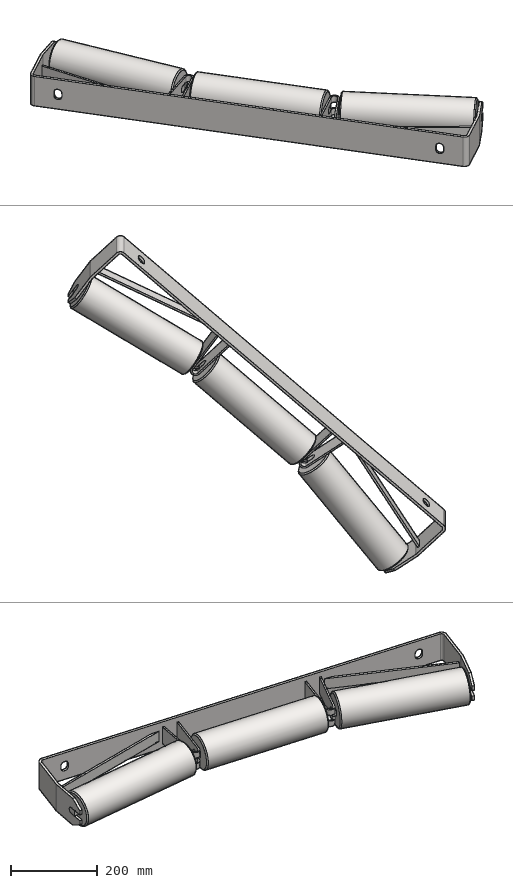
import cadquery as cq
import math

frame_length = 1050.0
frame_height = 80.0
frame_sheet = 6.0
frame_bend_radius = 13.0
arm_bend_y = 100.0
arm_tip_y = 190.0
arm_tip_width = 42.0
arm_taper_length = 27.0
mount_slot_inset = 68.0
mount_slot_length = 27.0
mount_slot_width = 19.0

tilt = 10.0
roller_diameter = 89.0
roller_length = 315.0
roller_rim_chamfer = 3.0
middle_roller_y = 99.0
outer_roller_x = 348.0
outer_roller_y = 130.0
shaft_gap = 5.0
shaft_width = 17.0
shaft_height = 21.0

bracket_sheet = 4.0
bracket_top_y = 125.0
crown_radius = 12.0
bracket_height = 50.0

brace_height = 30.0
brace_sheet = 5.0
brace_foot_x = 213.0
brace_top_y = 93.0

tilt_angle = math.radians(tilt)
sin_tilt = math.sin(tilt_angle)
cos_tilt = math.cos(tilt_angle)
half_length = frame_length / 2
half_height = frame_height / 2
shaft_half_length = roller_length / 2 + shaft_gap
crown_x = -shaft_half_length - crown_radius
crown_y = bracket_top_y - crown_radius
cutter_reach = frame_length


def along_outer_axis(x, y):
    """Distance of a point from the left outer roller's centre, measured along its axis."""
    return (x + outer_roller_x) * cos_tilt - (y - outer_roller_y) * sin_tilt


def mirrored(body):
    """Copy of a left-hand body on the right-hand side."""
    return body.mirror("YZ")


def place_on_outer_axis(body):
    """Move a body modelled along X about the origin onto the left outer roller axis."""
    turned = body.rotate((0, 0, 0), (0, 0, 1), -tilt)
    return turned.translate((-outer_roller_x, outer_roller_y, 0))


def shaft_section(height_above_axis, start_x, length):
    """Bar along X: round underneath, flat sides, flat top at the given height."""
    radius = shaft_width / 2
    bottom_y = -shaft_height / 2
    return (
        cq.Workplane("YZ", origin=(start_x, 0, 0))
        .moveTo(height_above_axis, radius)
        .lineTo(bottom_y + radius, radius)
        .threePointArc((bottom_y, 0), (bottom_y + radius, -radius))
        .lineTo(height_above_axis, -radius)
        .close()
        .extrude(length)
    )


def make_roller(left_reach, right_reach):
    """Roller along X about the origin, its shaft reaching the given distances from the middle."""
    barrel = (
        cq.Workplane("YZ", origin=(-roller_length / 2, 0, 0))
        .circle(roller_diameter / 2)
        .extrude(roller_length)
        .faces("<X or >X")
        .chamfer(roller_rim_chamfer)
    )
    shaft = shaft_section(shaft_height / 2, -left_reach, left_reach + right_reach)
    return barrel.union(shaft)


def shaft_slot(start_x, length):
    """Cutter for a slot that seats a shaft and is open upwards (+Y)."""
    return shaft_section(cutter_reach, start_x, length)


def taper_arm_tips(frame):
    """Slope off both corners of each arm tip."""
    corner = (
        cq.Workplane("YZ", origin=(-half_length, 0, 0))
        .polyline([
            (arm_tip_y - arm_taper_length, half_height),
            (arm_tip_y, half_height),
            (arm_tip_y, arm_tip_width / 2),
        ])
        .close()
        .extrude(frame_length)
    )
    return frame.cut(corner).cut(corner.mirror("XY"))


def mount_slots():
    """Cutters for the upright mounting slots through the back of the frame."""
    mount_x = half_length - mount_slot_inset
    return (
        cq.Workplane("XZ")
        .pushPoints([(-mount_x, 0), (mount_x, 0)])
        .slot2D(mount_slot_length, mount_slot_width, 90)
        .extrude(-frame_sheet)
    )


def make_frame():
    """U-shaped frame with slotted arm tips, its back lying along Y = 0."""
    lean = (arm_tip_y - arm_bend_y) * math.tan(tilt_angle)
    inner_x = half_length - frame_sheet
    inner_bend_y = arm_bend_y - frame_sheet * math.tan(tilt_angle / 2)
    tip_x = half_length - lean
    inner_tip = (tip_x - frame_sheet * cos_tilt, arm_tip_y - frame_sheet * sin_tilt)

    right_outside = [(half_length, 0), (half_length, arm_bend_y), (tip_x, arm_tip_y)]
    right_inside = [inner_tip, (inner_x, inner_bend_y), (inner_x, frame_sheet)]
    right_half = right_outside + right_inside
    left_half = [(-x, y) for x, y in reversed(right_half)]
    frame = (
        cq.Workplane("XY", origin=(0, 0, -half_height))
        .polyline(right_half + left_half)
        .close()
        .extrude(frame_height)
    )

    inner_bend_radius = frame_bend_radius - frame_sheet
    bends = [
        (half_length, 0, frame_bend_radius),
        (half_length, arm_bend_y, frame_bend_radius),
        (inner_x, frame_sheet, inner_bend_radius),
        (inner_x, inner_bend_y, inner_bend_radius),
    ]
    for x, y, radius in bends:
        for side in (-1, 1):
            edge = cq.selectors.NearestToPointSelector((side * x, y, 0))
            frame = frame.edges("|Z").edges(edge).fillet(radius)

    arm_slot = place_on_outer_axis(shaft_slot(-cutter_reach, cutter_reach))
    frame = taper_arm_tips(frame).cut(mount_slots())
    return frame.cut(arm_slot).cut(mirrored(arm_slot))


def make_bracket():
    """Left bracket, standing on the back of the frame."""
    inside_radius = crown_radius - bracket_sheet

    def tilted_leg(radius):
        """Top and foot of the tilted leg's face on the given crown radius."""
        top = (crown_x - radius * cos_tilt, crown_y + radius * sin_tilt)
        foot = (top[0] - (top[1] - frame_sheet) * math.tan(tilt_angle), frame_sheet)
        return top, foot

    outer_top, outer_foot = tilted_leg(crown_radius)
    inner_top, inner_foot = tilted_leg(inside_radius)
    bracket = (
        cq.Workplane("XY", origin=(0, 0, -bracket_height / 2))
        .moveTo(crown_x + crown_radius, frame_sheet)
        .lineTo(crown_x + crown_radius, crown_y)
        .threePointArc((crown_x, bracket_top_y), outer_top)
        .lineTo(*outer_foot)
        .lineTo(*inner_foot)
        .lineTo(*inner_top)
        .threePointArc((crown_x, crown_y + inside_radius), (crown_x + inside_radius, crown_y))
        .lineTo(crown_x + inside_radius, frame_sheet)
        .close()
        .extrude(bracket_height)
    )
    middle_slot = shaft_slot(crown_x, crown_radius).translate((0, middle_roller_y, 0))
    outer_slot = place_on_outer_axis(shaft_slot(roller_length / 2, crown_radius + shaft_gap))
    return bracket.cut(middle_slot).cut(outer_slot)


def make_brace():
    """Left brace: a flat strip running from the arm down to the back of the frame."""
    top_x = -half_length + frame_sheet
    slope = math.atan2(brace_top_y - frame_sheet, -brace_foot_x - top_x)
    rise = brace_sheet / math.cos(slope)
    run = brace_sheet / math.sin(slope)
    return (
        cq.Workplane("XY", origin=(0, 0, -brace_height / 2))
        .polyline([
            (top_x, brace_top_y),
            (-brace_foot_x, frame_sheet),
            (-brace_foot_x - run, frame_sheet),
            (top_x, brace_top_y - rise),
        ])
        .close()
        .extrude(brace_height)
    )


frame = make_frame()
bracket = make_bracket()
brace = make_brace()

bracket_reach = shaft_half_length + bracket_sheet
arm_reach = -along_outer_axis(-half_length, arm_bend_y)
leg_reach = along_outer_axis(crown_x, crown_y) - crown_radius + bracket_sheet
middle_roller = make_roller(bracket_reach, bracket_reach).translate((0, middle_roller_y, 0))
outer_roller = place_on_outer_axis(make_roller(arm_reach, leg_reach))

bodies = [frame, middle_roller]
for left_body in (outer_roller, bracket, brace):
    bodies += [left_body, mirrored(left_body)]

result = cq.Compound.makeCompound([body.solids().val() for body in bodies])